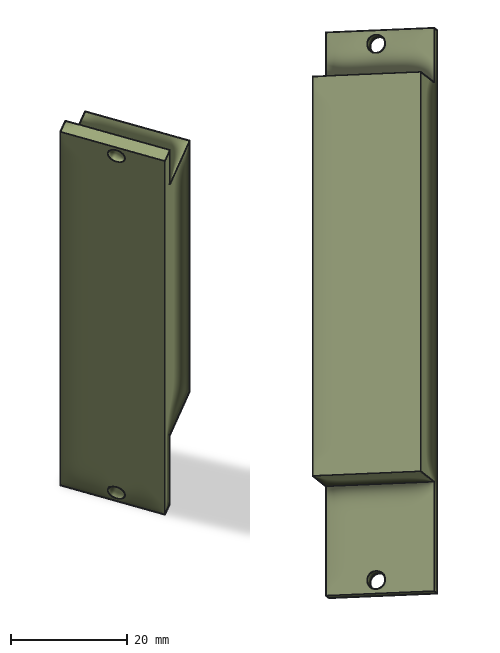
import cadquery as cq

panel_width = 19.1
panel_height = 98.4
panel_thickness = 2.6

total_depth = 12.7
housing_top_gap = 9.5
housing_bottom_gap = 19.1

hole_diameter = 3.15
hole_from_left = 10.2
hole_from_end = 2.4


def make_panel():
    return cq.Workplane("XY").box(panel_width, panel_thickness, panel_height, centered=False)


def make_housing():
    housing_height = panel_height - housing_top_gap - housing_bottom_gap
    return (
        cq.Workplane("XY")
        .box(panel_width, total_depth, housing_height, centered=False)
        .translate((0, 0, housing_bottom_gap))
    )


def make_mounting_holes():
    hole_heights = (hole_from_end, panel_height - hole_from_end)
    return (
        cq.Workplane("XZ")
        .pushPoints([(hole_from_left, height) for height in hole_heights])
        .circle(hole_diameter / 2)
        .extrude(-panel_thickness)
    )


result = make_panel().union(make_housing()).cut(make_mounting_holes())